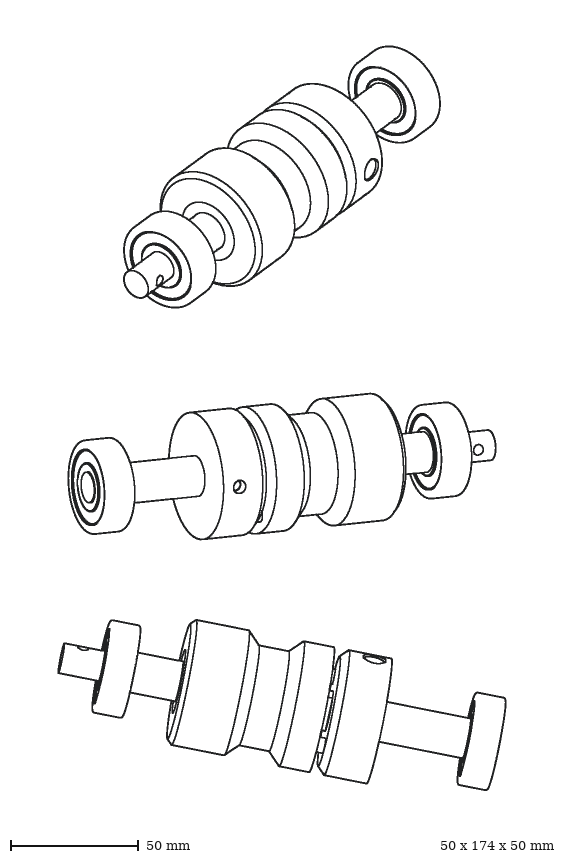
import cadquery as cq


BEARING_D = 37.0
BEARING_BORE_D = 12.0
BEARING_WIDTH = 12.0
BEARING_EDGE_RADIUS = 1.0
OUTER_RING_LIP_D = 31.92
OUTER_RING_INNER_D = 29.92
SHIELD_D = 28.9
SHIELD_STEP_D = 25.4
SHIELD_BORE_D = 19.3
INNER_RING_D = 18.7
OUTER_RING_BEVEL_DEPTH = 0.12
SHIELD_DEPTH = 0.4
SHIELD_RIM_DROP = 0.17
SHIELD_GAP_DEPTH = 0.7

SHAFT_D = 16.0
SHAFT_LENGTH = 174.0
TIP_LENGTH = 16.0
FLATS_WIDTH = 8.0
TIP_HOLE_D = 4.2
TIP_HOLE_Y = 7.5

BODY_D = 50.0
SLEEVE_START = 47.0
SLEEVE_CHAMFER = 2.0
SLEEVE_CONE_FRONT = 70.0
SLEEVE_CONE_BACK = 92.0
SLEEVE_LENGTH = 57.0
NECK_D = 40.0
CONE_LENGTH = 5.0
BUSHING_D = 25.4
BUSHING_BORE_D = 16.2

COLLAR_GAP = 3.0
COLLAR_LENGTH = 20.0
COLLAR_CHAMFER = 3.0
DRIVE_PIN_D = 6.0
DRIVE_PIN_CIRCLE_R = 18.2
DRIVE_PIN_ANGLES = (60.0, 240.0)
DRIVE_PIN_DEPTH = 10.0

SCREW_D = 5.0
SCREW_HEAD_D = 8.5
SCREW_HEAD_LENGTH = 5.0
SCREW_LENGTH = 40.0
SCREW_TIP_CHAMFER = 0.4
SCREW_HOLE_D = 5.2
COUNTERBORE_D = 9.0
HEAD_SEAT_X = 19.0
SCREW_FROM_COLLAR_BACK = 7.0

SLEEVE_END = SLEEVE_START + SLEEVE_LENGTH
COLLAR_START = SLEEVE_END + COLLAR_GAP
COLLAR_END = COLLAR_START + COLLAR_LENGTH
SCREW_Y = COLLAR_END - SCREW_FROM_COLLAR_BACK
BEARING_STARTS = (TIP_LENGTH, SHAFT_LENGTH - BEARING_WIDTH)


def rod_along_y(diameter, start, end):
    return cq.Workplane("XZ", origin=(0, start, 0)).circle(diameter / 2).extrude(start - end)


def rod_along_x(diameter, start, end, y):
    return cq.Workplane("YZ", origin=(start, y, 0)).circle(diameter / 2).extrude(end - start)


def tube(diameter, bore, start, end):
    return rod_along_y(diameter, start, end).cut(rod_along_y(bore, start, end))


def face_recess():
    """Ring cut from a bearing face at y = 0: beveled lip, then a recessed shield between two narrow gaps."""
    return (
        cq.Workplane("XY")
        .moveTo(INNER_RING_D / 2, 0)
        .lineTo(INNER_RING_D / 2, SHIELD_GAP_DEPTH)
        .lineTo(SHIELD_BORE_D / 2, SHIELD_GAP_DEPTH)
        .lineTo(SHIELD_BORE_D / 2, SHIELD_DEPTH)
        .lineTo(SHIELD_STEP_D / 2, SHIELD_DEPTH)
        .lineTo(SHIELD_D / 2, SHIELD_DEPTH + SHIELD_RIM_DROP)
        .lineTo(SHIELD_D / 2, SHIELD_GAP_DEPTH)
        .lineTo(OUTER_RING_INNER_D / 2, SHIELD_GAP_DEPTH)
        .lineTo(OUTER_RING_INNER_D / 2, OUTER_RING_BEVEL_DEPTH)
        .lineTo(OUTER_RING_LIP_D / 2, 0)
        .close()
        .revolve(360, (0, 0), (0, 1))
    )


def make_bearing(start):
    ring = tube(BEARING_D, BEARING_BORE_D, 0, BEARING_WIDTH)
    ring = ring.faces("<Y or >Y").edges().fillet(BEARING_EDGE_RADIUS)
    front_recess = face_recess()
    back_recess = front_recess.mirror("XZ").translate((0, BEARING_WIDTH, 0))
    return ring.cut(front_recess).cut(back_recess).translate((0, start, 0))


def make_drive_pin(angle):
    pin = rod_along_y(DRIVE_PIN_D, SLEEVE_END - DRIVE_PIN_DEPTH, COLLAR_START + DRIVE_PIN_DEPTH)
    return pin.translate((DRIVE_PIN_CIRCLE_R, 0, 0)).rotate((0, 0, 0), (0, -1, 0), angle)


def make_screw_hole():
    through_hole = rod_along_x(SCREW_HOLE_D, -BODY_D / 2, BODY_D / 2, SCREW_Y)
    return through_hole.union(rod_along_x(COUNTERBORE_D, HEAD_SEAT_X, BODY_D / 2, SCREW_Y))


def make_screw():
    shank = rod_along_x(SCREW_D, HEAD_SEAT_X - SCREW_LENGTH, HEAD_SEAT_X, SCREW_Y)
    shank = shank.faces("<X").chamfer(SCREW_TIP_CHAMFER)
    return shank.union(rod_along_x(SCREW_HEAD_D, HEAD_SEAT_X, HEAD_SEAT_X + SCREW_HEAD_LENGTH, SCREW_Y))


def make_shaft():
    front_bearing, back_bearing = BEARING_STARTS
    shaft = rod_along_y(BEARING_BORE_D, 0, SHAFT_LENGTH)
    shaft = shaft.union(rod_along_y(SHAFT_D, front_bearing + BEARING_WIDTH, back_bearing))
    gap_middle = SLEEVE_END + COLLAR_GAP / 2
    gap_box = cq.Workplane("XY").box(SHAFT_D, COLLAR_GAP, SHAFT_D)
    tongue_box = cq.Workplane("XY").box(SHAFT_D, COLLAR_GAP, FLATS_WIDTH)
    shaft = shaft.cut(gap_box.cut(tongue_box).translate((0, gap_middle, 0)))
    shaft = shaft.cut(rod_along_x(TIP_HOLE_D, -SHAFT_D / 2, SHAFT_D / 2, TIP_HOLE_Y))
    return shaft.cut(screw_hole)


def make_sleeve():
    sleeve = (
        cq.Workplane("XY")
        .moveTo(BUSHING_D / 2, SLEEVE_START)
        .lineTo(BODY_D / 2 - SLEEVE_CHAMFER, SLEEVE_START)
        .lineTo(BODY_D / 2, SLEEVE_START + SLEEVE_CHAMFER)
        .lineTo(BODY_D / 2, SLEEVE_CONE_FRONT)
        .lineTo(NECK_D / 2, SLEEVE_CONE_FRONT + CONE_LENGTH)
        .lineTo(NECK_D / 2, SLEEVE_CONE_BACK - CONE_LENGTH)
        .lineTo(BODY_D / 2, SLEEVE_CONE_BACK)
        .lineTo(BODY_D / 2, SLEEVE_END)
        .lineTo(BUSHING_D / 2, SLEEVE_END)
        .close()
        .revolve(360, (0, 0), (0, 1))
    )
    for pin in drive_pins:
        sleeve = sleeve.cut(pin)
    return sleeve


def make_collar():
    collar = rod_along_y(BODY_D, COLLAR_START, COLLAR_END).faces("<Y").chamfer(COLLAR_CHAMFER)
    collar = collar.cut(rod_along_y(SHAFT_D, COLLAR_START, COLLAR_END))
    collar = collar.cut(screw_hole)
    for pin in drive_pins:
        collar = collar.cut(pin)
    return collar


bearings = [make_bearing(start) for start in BEARING_STARTS]
drive_pins = [make_drive_pin(angle) for angle in DRIVE_PIN_ANGLES]
screw_hole = make_screw_hole()
screw = make_screw()
shaft = make_shaft()
sleeve = make_sleeve()
bushing = tube(BUSHING_D, BUSHING_BORE_D, SLEEVE_START, SLEEVE_END)
collar = make_collar()

bodies = [shaft, sleeve, bushing, collar, screw, *bearings, *drive_pins]
result = cq.Compound.makeCompound([body.val() for body in bodies])